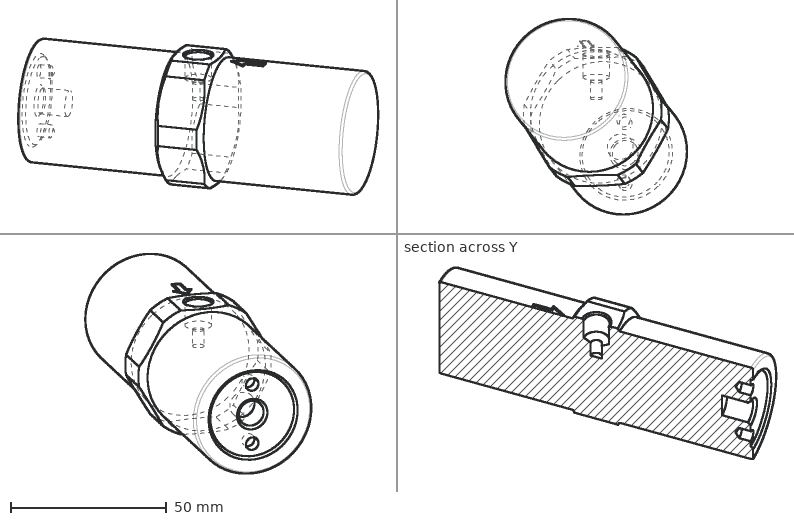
import cadquery as cq
import math

body_length = 109.0
body_diameter = 40.0
body_radius = body_diameter / 2
body_edge_fillet = 0.8

hex_sides = 6
hex_length = 16.3
hex_across_flats = 42.0
hex_corner_diameter = 45.07
hex_chamfer_angle = 33.0

recess_rim_diameter = 30.2
recess_floor_diameter = 28.4
recess_depth = 0.9

end_port_diameter = 8.38
end_port_rim_diameter = 10.3
end_port_depth = 10.0

pin_hole_diameter = 4.2
pin_hole_depth = 4.0
pin_hole_offset = 10.0
drill_point_angle = 118.0

top_port_diameter = 8.57
top_port_rim_diameter = 9.73
top_port_depth = 8.0
top_passage_diameter = 3.8
top_passage_depth = 15.0

arrow_tip_x = 11.0
arrow_head_x = 16.1
arrow_tail_x = 22.3
arrow_head_half_width = 3.15
arrow_shaft_half_width = 1.5
arrow_line_width = 0.45
arrow_line_depth = 0.1


def cone_length(large_diameter, small_diameter, tip_angle):
    """Axial length of a cone frustum with the given full tip angle."""
    half_angle = math.radians(tip_angle / 2)
    return (large_diameter - small_diameter) / 2 / math.tan(half_angle)


def revolved_cutter(profile):
    """Solid of revolution about the local Z axis from (radius, height) points."""
    return cq.Workplane("XZ").polyline(profile).close().revolve(360, (0, 0), (0, 1))


def make_body():
    body = cq.Workplane("YZ").circle(body_radius).extrude(body_length / 2, both=True)
    return body.faces("<X or >X").edges().fillet(body_edge_fillet)


def make_hex_collar():
    """Hexagon with its corners turned round and its ends chamfered down to the body."""
    across_points = hex_across_flats / math.cos(math.pi / hex_sides)
    hexagon = (
        cq.Workplane("YZ")
        .polygon(hex_sides, across_points)
        .extrude(hex_length / 2, both=True)
    )
    corner_radius = hex_corner_diameter / 2
    half_length = hex_length / 2
    chamfer_length = (corner_radius - body_radius) * math.tan(math.radians(hex_chamfer_angle))
    turned_profile = [
        (-half_length, 0),
        (-half_length, body_radius),
        (-half_length + chamfer_length, corner_radius),
        (half_length - chamfer_length, corner_radius),
        (half_length, body_radius),
        (half_length, 0),
    ]
    turned = cq.Workplane("XY").polyline(turned_profile).close().revolve(360, (0, 0), (1, 0))
    return hexagon.intersect(turned)


def make_end_recess():
    """Recess and end port, cut from the end face at height 0 downwards."""
    port_rim_chamfer = (end_port_rim_diameter - end_port_diameter) / 2
    return revolved_cutter([
        (0, 0),
        (recess_rim_diameter / 2, 0),
        (recess_floor_diameter / 2, -recess_depth),
        (end_port_rim_diameter / 2, -recess_depth),
        (end_port_diameter / 2, -recess_depth - port_rim_chamfer),
        (end_port_diameter / 2, -recess_depth - end_port_depth),
        (0, -recess_depth - end_port_depth),
    ])


def make_pin_hole():
    """Blind drilled hole with a pointed bottom, starting at the end face."""
    bottom = -recess_depth - pin_hole_depth
    point_length = cone_length(pin_hole_diameter, 0, drill_point_angle)
    return revolved_cutter([
        (0, 0),
        (pin_hole_diameter / 2, 0),
        (pin_hole_diameter / 2, bottom),
        (0, bottom - point_length),
    ])


def make_top_port():
    """Port with a chamfered rim and a drilled bottom leading to a narrow passage."""
    rim_chamfer = (top_port_rim_diameter - top_port_diameter) / 2
    cone = cone_length(top_port_diameter, top_passage_diameter, drill_point_angle)
    port = revolved_cutter([
        (0, 0),
        (top_port_rim_diameter / 2, 0),
        (top_port_diameter / 2, -rim_chamfer),
        (top_port_diameter / 2, -top_port_depth),
        (top_passage_diameter / 2, -top_port_depth - cone),
        (top_passage_diameter / 2, -top_passage_depth),
        (0, -top_passage_depth),
    ])
    return port.translate((0, 0, hex_across_flats / 2))


def arrow_outline():
    return cq.Workplane("XY").polyline([
        (arrow_tip_x, 0),
        (arrow_head_x, arrow_head_half_width),
        (arrow_head_x, arrow_shaft_half_width),
        (arrow_tail_x, arrow_shaft_half_width),
        (arrow_tail_x, -arrow_shaft_half_width),
        (arrow_head_x, -arrow_shaft_half_width),
        (arrow_head_x, -arrow_head_half_width),
    ]).close()


def make_arrow_groove():
    outer = arrow_outline().extrude(body_diameter)
    inner = arrow_outline().offset2D(-arrow_line_width, "intersection").extrude(body_diameter)
    groove_floor = (
        cq.Workplane("YZ").circle(body_radius - arrow_line_depth).extrude(body_length / 2)
    )
    return outer.cut(inner).cut(groove_floor)


def place_on_end(cutter, z=0.0):
    """Turn a cutter so that it enters the -X end face at height z on the part."""
    return cutter.rotate((0, 0, 0), (0, 1, 0), -90).translate((-body_length / 2, 0, z))


result = make_body().union(make_hex_collar())
result = result.cut(place_on_end(make_end_recess()))
for side in (-1, 1):
    result = result.cut(place_on_end(make_pin_hole(), side * pin_hole_offset))
result = result.cut(make_top_port())
result = result.cut(make_arrow_groove())